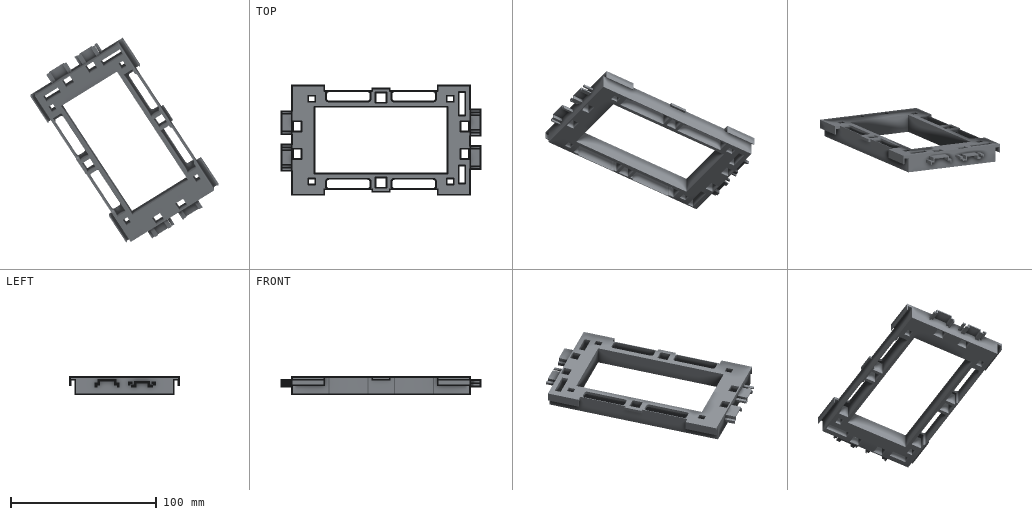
import cadquery as cq

body_length = 122.5
body_width = 67.8
body_height = 12.0
plate_thickness = 2.0
window_length = 91.3
window_width = 45.8

overall_width = 75.13
corner_flange_length = 22.3
skirt_height = 5.9
skirt_thickness = 0.5
tab_length = 12.3
tab_reach = 35.5

slot_length = 30.4
slot_width = 6.8
slot_corner_radius = 1.7
slot_offset_x = 22.5
slot_offset_y = 30.1
undercut_inner = 1.5
undercut_outer_end = 3.6
undercut_setback = 1.0

corner_hole_size = (4.7, 4.0)
corner_hole_offset = (47.55, 28.5)
middle_hole_size = (7.3, 6.9)
middle_hole_offset_y = 29.25
end_hole_size = (5.6, 6.8)
end_hole_offset = (57.6, 9.45)
long_pocket_width = 4.3
long_pocket_x = 55.75
long_pocket_ranges = ((17.0, 33.0), (-29.7, -17.5))

overall_length = 136.8
rail_length = (overall_length - body_length) / 2
rail_offset_y = 12.0
rail_wall = 0.8
rail_bottom_z = 5.3

hat_half_width = 8.0
hat_crown_half_width = 6.0
hat_top_z = 10.0
hat_brim_z = 7.5

socket_half_width = 9.1
socket_foot_half_width = 7.0
socket_crown_half_width = 5.0
socket_top_z = 8.7
socket_foot_z = rail_bottom_z + rail_wall
socket_hook_top_z = 8.3
socket_hook_bottom_z = 6.6
socket_hook_lip = 0.05


def block(x_range, y_range, z_range):
    """Box spanning the given (low, high) ranges."""
    size = [high - low for low, high in (x_range, y_range, z_range)]
    corner = cq.Vector(x_range[0], y_range[0], z_range[0])
    return cq.Workplane(cq.Solid.makeBox(*size, corner))


def through_hole(x, y, length, width):
    """Rectangular cutter through the full height, centred at (x, y)."""
    return cq.Workplane("XY").center(x, y).rect(length, width).extrude(body_height)


def corner_flange():
    """Overhang with a hanging skirt at the +X +Y corner."""
    x_range = (body_length / 2 - corner_flange_length, body_length / 2)
    edge = overall_width / 2
    top = block(x_range, (body_width / 2, edge), (body_height - plate_thickness, body_height))
    skirt = block(x_range, (edge - skirt_thickness, edge), (body_height - skirt_height, body_height))
    return top.union(skirt)


def slot_cutter():
    """Rounded slot in the +X +Y quadrant with its wider cavity under the plate."""
    slot = through_hole(slot_offset_x, slot_offset_y, slot_length, slot_width)
    slot = slot.edges("|Z").fillet(slot_corner_radius)
    x_start = slot_offset_x - slot_length / 2 - undercut_inner
    x_end = slot_offset_x + slot_length / 2 + undercut_outer_end
    y_start = slot_offset_y - slot_width / 2 - undercut_inner
    y_end = slot_offset_y + slot_width / 2 - undercut_setback
    cavity = block((x_start, x_end), (y_start, y_end), (0, body_height - plate_thickness))
    return slot.union(cavity)


def in_four_quadrants(shape):
    """The shape together with its mirror images across the XZ and YZ planes."""
    pair = shape.union(shape.mirror("XZ"))
    return pair.union(pair.mirror("YZ"))


def hat_section(half_width, crown_half_width, top_z, brim_z, leg_bottom_z):
    """Solid outline of a stepped hat, as (y, z) points."""
    return [
        (-half_width, leg_bottom_z),
        (-half_width, brim_z),
        (-crown_half_width, brim_z),
        (-crown_half_width, top_z),
        (crown_half_width, top_z),
        (crown_half_width, brim_z),
        (half_width, brim_z),
        (half_width, leg_bottom_z),
    ]


def rail_prism(points):
    """Prism on the +X end of the body from (y, z) points."""
    start = body_length / 2
    return cq.Workplane("YZ", origin=(start, 0, 0)).polyline(points).close().extrude(rail_length)


def hat_rail():
    """Thin hat-shaped rail with a downward leg on each brim."""
    outside = hat_section(hat_half_width, hat_crown_half_width, hat_top_z, hat_brim_z, rail_bottom_z)
    inside = hat_section(
        hat_half_width - rail_wall,
        hat_crown_half_width - rail_wall,
        hat_top_z - rail_wall,
        hat_brim_z - rail_wall,
        rail_bottom_z,
    )
    return rail_prism(outside).cut(rail_prism(inside))


def socket_rail():
    """Low hat-shaped rail with flat feet, flanked by two hooks with slightly overhanging tops."""
    outside = hat_section(
        socket_foot_half_width, socket_crown_half_width, socket_top_z, socket_foot_z, rail_bottom_z
    )
    x_range = (body_length / 2, overall_length / 2)
    inner_half_width = socket_crown_half_width - rail_wall
    inside = block(x_range, (-inner_half_width, inner_half_width), (rail_bottom_z, socket_top_z - rail_wall))
    shelf_z = socket_hook_top_z - rail_wall
    leg_half_width = socket_half_width - socket_hook_lip
    hook = rail_prism([
        (socket_foot_half_width, socket_hook_top_z),
        (socket_half_width, socket_hook_top_z),
        (socket_half_width, shelf_z),
        (leg_half_width, shelf_z),
        (leg_half_width, socket_hook_bottom_z),
        (leg_half_width - rail_wall, socket_hook_bottom_z),
        (leg_half_width - rail_wall, shelf_z),
        (socket_foot_half_width, shelf_z),
    ])
    return rail_prism(outside).cut(inside).union(hook).union(hook.mirror("XZ"))


frame = cq.Workplane("XY").rect(body_length, body_width).extrude(body_height)
frame = frame.union(in_four_quadrants(corner_flange()))
frame = frame.union(
    block(
        (-tab_length / 2, tab_length / 2),
        (-tab_reach, tab_reach),
        (body_height - plate_thickness, body_height),
    )
)

frame = frame.cut(through_hole(0, 0, window_length, window_width))
frame = frame.cut(in_four_quadrants(slot_cutter()))
frame = frame.cut(in_four_quadrants(through_hole(*corner_hole_offset, *corner_hole_size)))
frame = frame.cut(in_four_quadrants(through_hole(*end_hole_offset, *end_hole_size)))
for side in (-1, 1):
    frame = frame.cut(through_hole(0, side * middle_hole_offset_y, *middle_hole_size))
for y_low, y_high in long_pocket_ranges:
    frame = frame.cut(through_hole(long_pocket_x, (y_low + y_high) / 2, long_pocket_width, y_high - y_low))

end_rails = hat_rail().translate((0, -rail_offset_y, 0))
end_rails = end_rails.union(socket_rail().translate((0, rail_offset_y, 0)))
opposite_rails = end_rails.rotate((0, 0, 0), (0, 0, 1), 180)

result = frame.union(end_rails).union(opposite_rails)